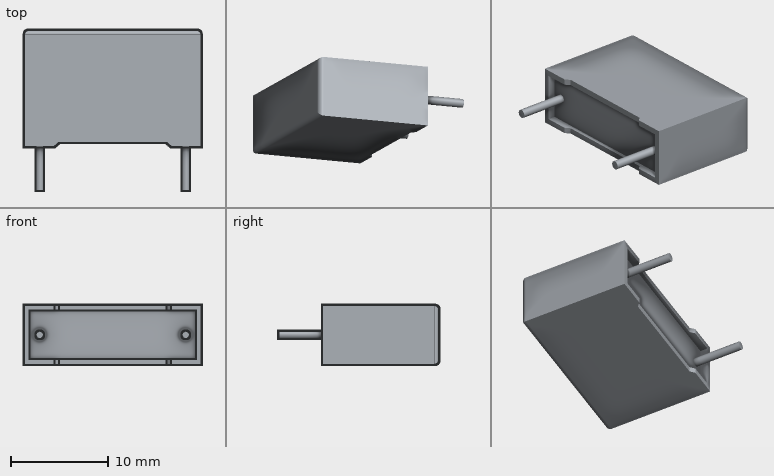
import cadquery as cq

case_length = 18.3
case_depth = 12.1
case_height = 6.2
wall = 0.6
back_edge_radius = 0.5

rim_foot_length = 3.17
relief_slope_length = 0.48
relief_depth = 0.42

fill_recess = 0.8

lead_diameter = 0.9
lead_pitch = 15.0
lead_projection = 4.5

cavity_length = case_length - 2 * wall
cavity_height = case_height - 2 * wall
cavity_depth = case_depth - wall


def block(length, depth, height, front_y):
    """Box centred on X and Z, running toward +Y from front_y."""
    return cq.Workplane("XY").box(length, depth, height, centered=(True, False, True)).translate((0, front_y, 0))


def make_case():
    """Open box with a rounded closed end and a relief in its rim at Y = 0."""
    shell = block(case_length, case_depth, case_height, 0)
    shell = shell.faces(">Y").edges().fillet(back_edge_radius)
    shell = shell.cut(block(cavity_length, cavity_depth, cavity_height, 0))

    relief_half_outer = case_length / 2 - rim_foot_length
    relief_half_inner = relief_half_outer - relief_slope_length
    relief = (
        cq.Workplane("XY")
        .moveTo(-relief_half_outer, 0)
        .lineTo(relief_half_outer, 0)
        .lineTo(relief_half_inner, relief_depth)
        .lineTo(-relief_half_inner, relief_depth)
        .close()
        .extrude(case_height / 2, both=True)
    )
    return shell.cut(relief)


def make_fill():
    """Resin block that fills the cavity behind the recess."""
    return block(cavity_length, cavity_depth - fill_recess, cavity_height, fill_recess)


def make_lead(x):
    """Round lead standing on the fill and pointing toward -Y."""
    lead_length = fill_recess + lead_projection
    lead = cq.Workplane("XZ").circle(lead_diameter / 2).extrude(lead_length)
    return lead.translate((x, fill_recess, 0))


case = make_case()
fill = make_fill()
leads = [make_lead(side * lead_pitch / 2) for side in (-1, 1)]

result = cq.Compound.makeCompound([case.val(), fill.val(), *[lead.val() for lead in leads]])